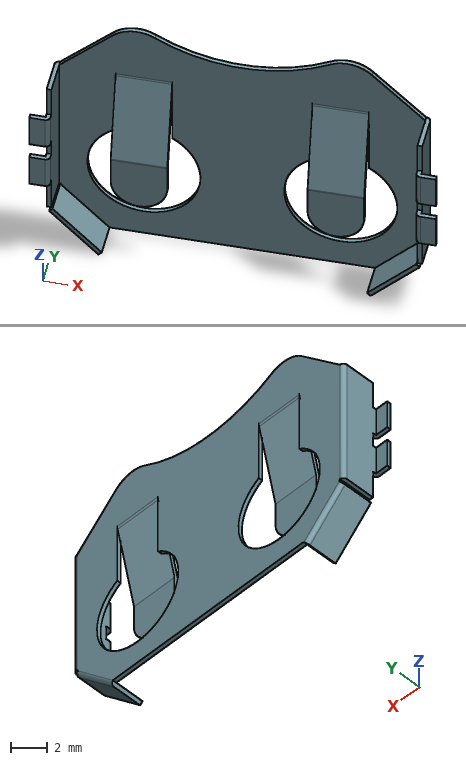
import cadquery as cq
import math


thickness = 0.27
overall_width = 22.85
overall_depth = 2.8
wall_depth = 2.29

plate_half_width = 10.29
tip_height = 15.3
tip_radius = 2.0
notch_radius = 10.0
notch_bottom = 13.75
corner_cut = 2.83
flap_gap = 0.1

wall_bottom = 2.88
wall_height = 8.98
wall_top = wall_bottom + wall_height
lower_foot_bottom = 4.91
foot_width = 2.03
foot_pitch = 3.02

spring_x = 5.53
spring_width = 3.18
spring_reach = 1.55
spring_slope = 13.6
spring_root_radius = 0.6
window_radius = 3.18
window_height = 4.82


def extrude_between(profile, start, end):
    """Extrude an XY profile upward so that it spans Z = start to end."""
    return profile.extrude(end - start).translate((0, 0, start))


def make_plate():
    """Flat plate with clipped lower corners and a round notch between two tips."""
    notch_center_z = notch_bottom + notch_radius
    tip_z = tip_height - tip_radius
    center_distance = notch_radius + tip_radius
    tip_x = math.sqrt(center_distance**2 - (notch_center_z - tip_z) ** 2)

    touch_x = tip_x * notch_radius / center_distance
    touch_z = tip_z + (notch_center_z - tip_z) * tip_radius / center_distance

    to_corner_x = plate_half_width - tip_x
    to_corner_z = wall_top - tip_z
    corner_angle = math.atan2(to_corner_z, to_corner_x)
    tangent_angle = corner_angle + math.acos(tip_radius / math.hypot(to_corner_x, to_corner_z))
    shoulder_x = tip_x + tip_radius * math.cos(tangent_angle)
    shoulder_z = tip_z + tip_radius * math.sin(tangent_angle)

    bottom_half_width = plate_half_width - corner_cut
    return (
        cq.Workplane("XZ")
        .moveTo(-bottom_half_width, 0)
        .lineTo(bottom_half_width, 0)
        .lineTo(plate_half_width, corner_cut)
        .lineTo(plate_half_width, wall_top)
        .lineTo(shoulder_x, shoulder_z)
        .threePointArc((tip_x, tip_height), (touch_x, touch_z))
        .threePointArc((0, notch_bottom), (-touch_x, touch_z))
        .threePointArc((-tip_x, tip_height), (-shoulder_x, shoulder_z))
        .lineTo(-plate_half_width, wall_top)
        .lineTo(-plate_half_width, corner_cut)
        .close()
        .extrude(thickness)
    )


def flange_profile():
    """Wall section with +X outward: a bend around the plate edge at X = 0, then straight."""
    bend_middle = thickness * math.sqrt(0.5)
    return (
        cq.Workplane("XY")
        .moveTo(0, 0)
        .threePointArc((bend_middle, bend_middle - thickness), (thickness, -thickness))
        .lineTo(thickness, -wall_depth)
        .lineTo(0, -wall_depth)
        .close()
    )


def foot_profile():
    """Foot section with +X outward: continues the wall, then bends outward."""
    foot_length = overall_width / 2 - plate_half_width
    foot_back = thickness - overall_depth
    bend_middle = thickness * math.sqrt(0.5)
    return (
        cq.Workplane("XY")
        .moveTo(0, -wall_depth)
        .lineTo(0, foot_back)
        .threePointArc((thickness - bend_middle, foot_back - bend_middle), (thickness, -overall_depth))
        .lineTo(foot_length, -overall_depth)
        .lineTo(foot_length, foot_back)
        .lineTo(thickness, foot_back)
        .lineTo(thickness, -wall_depth)
        .close()
    )


def make_side_wall():
    """Right side wall with its two feet."""
    wall = extrude_between(flange_profile(), wall_bottom, wall_top)
    for foot_bottom in (lower_foot_bottom, lower_foot_bottom + foot_pitch):
        wall = wall.union(extrude_between(foot_profile(), foot_bottom, foot_bottom + foot_width))
    return wall.translate((plate_half_width, 0, 0))


def make_corner_flap():
    """Flap along the clipped lower right corner, stopping short of the side wall."""
    edge_length = corner_cut * math.sqrt(2)
    return (
        extrude_between(flange_profile(), -edge_length, -flap_gap)
        .rotate((0, 0, 0), (0, 1, 0), 45)
        .translate((plate_half_width, 0, corner_cut))
    )


def make_window():
    """Cutter for the round window and the slot the spring is lifted from."""
    slot_height = wall_top - window_height
    slot = (
        cq.Workplane("XZ")
        .center(spring_x, window_height + slot_height / 2)
        .rect(spring_width, slot_height)
        .extrude(thickness)
    )
    disc = cq.Workplane("XZ").center(spring_x, window_height).circle(window_radius).extrude(thickness)
    return disc.union(slot)


def make_spring():
    """Strip bent forward from the slot top, ending in a flat tongue with a round end."""
    slope = math.radians(spring_slope)
    half_slope = slope / 2
    outer_root_radius = spring_root_radius + thickness

    def root_bend(radius, angle):
        """Point (Y, Z) on the root bend, whose center lies in front of the plate."""
        y = radius * math.cos(angle) - outer_root_radius
        return (y, wall_top - radius * math.sin(angle))

    tongue_back = thickness - spring_reach
    slope_start_y, slope_start_z = root_bend(spring_root_radius, slope)
    slope_end_y = tongue_back - thickness * math.cos(slope)
    slope_end_z = slope_start_z - (slope_start_y - slope_end_y) / math.tan(slope)
    tip_bend_z = slope_end_z - thickness * math.sin(slope)
    tip_bend_middle = (
        tongue_back - thickness * math.cos(half_slope),
        tip_bend_z + thickness * math.sin(half_slope),
    )

    tongue_radius = spring_width / 2
    tongue_bottom = window_height - tongue_radius
    strip = (
        cq.Workplane("YZ")
        .moveTo(0, wall_top)
        .lineTo(-thickness, wall_top)
        .threePointArc(root_bend(spring_root_radius, half_slope), (slope_start_y, slope_start_z))
        .lineTo(slope_end_y, slope_end_z)
        .threePointArc(tip_bend_middle, (-spring_reach, tip_bend_z))
        .lineTo(-spring_reach, tongue_bottom)
        .lineTo(tongue_back, tongue_bottom)
        .lineTo(tongue_back, tip_bend_z)
        .lineTo(*root_bend(outer_root_radius, slope))
        .threePointArc(root_bend(outer_root_radius, half_slope), (0, wall_top))
        .close()
        .extrude(tongue_radius, both=True)
        .translate((spring_x, 0, 0))
    )
    outline = (
        cq.Workplane("XZ")
        .moveTo(spring_x - tongue_radius, wall_top)
        .lineTo(spring_x - tongue_radius, window_height)
        .threePointArc((spring_x, tongue_bottom), (spring_x + tongue_radius, window_height))
        .lineTo(spring_x + tongue_radius, wall_top)
        .close()
        .extrude(spring_reach)
    )
    return strip.intersect(outline)


def add_both_sides(body, part):
    """Join a right-hand part and its mirror image to the body."""
    return body.union(part).union(part.mirror("YZ"))


window = make_window()
result = make_plate().cut(window).cut(window.mirror("YZ"))
for part in (make_side_wall(), make_corner_flap(), make_spring()):
    result = add_both_sides(result, part)